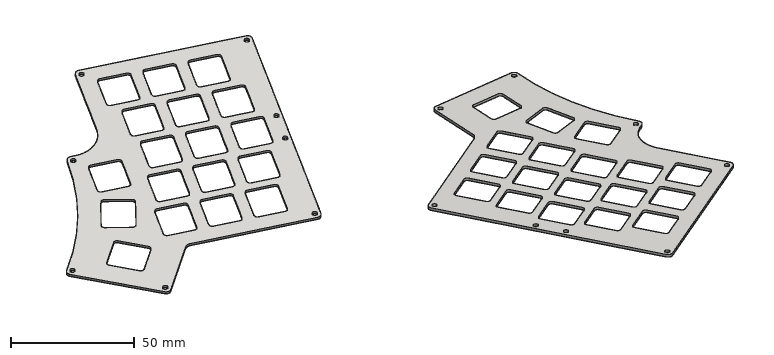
import cadquery as cq
import math

PLATE_THICKNESS = 1.27

KEY_PITCH = 19.015
STAGGER_STEP = KEY_PITCH / 8
COLUMN_DROPS = {-2: 3, -1: 1, 0: 0, 1: 1, 2: 2}
TOP_ROW = 1
BOTTOM_ROW = -1
ROWS = (BOTTOM_ROW, 0, TOP_ROW)
LEFT_COLUMN = min(COLUMN_DROPS)
RIGHT_COLUMN = max(COLUMN_DROPS)

CUTOUT_LENGTH = 15.55
CUTOUT_WIDTH = 14.02
CUTOUT_CORNER_RADIUS = 1.4

KEY_TO_EDGE = 14.61
BLOCK_RIGHT = RIGHT_COLUMN * KEY_PITCH + KEY_TO_EDGE
BLOCK_LEFT = -BLOCK_RIGHT
BLOCK_TOP = TOP_ROW * KEY_PITCH + KEY_TO_EDGE
BLOCK_BOTTOM = BOTTOM_ROW * KEY_PITCH - COLUMN_DROPS[LEFT_COLUMN] * STAGGER_STEP - KEY_TO_EDGE

SCREW_HOLE_DIAMETER = 2.1
SCREW_TO_EDGE = 2.45
CORNER_RADIUS = 2.0
TOP_SCREW_OFFSET = 6.5

OUTER_SIDE_DEGREES = 60
OUTER_SIDE_ANGLE = math.radians(OUTER_SIDE_DEGREES)
OUTER_SCREW_SPACING = 38.7
LOWER_OUTER_SCREW = (53.95, -71.75)
INNER_SCREW = (-4.85, -54.67)
BOW_RADIUS = 108.3
INNER_NOTCH_RADIUS = 12.0
OUTER_NOTCH_RADIUS = 3.0

THUMB_KEYS = ((7.3, 0), (28.53, -15), (52.35, OUTER_SIDE_DEGREES))
FIRST_THUMB_KEY_Y = -42.85


def along_outer_side(start, along, outward):
    """Point reached from start by moving up along the thumb cluster's outer side, then away from it."""
    cosine = math.cos(OUTER_SIDE_ANGLE)
    sine = math.sin(OUTER_SIDE_ANGLE)
    return (
        start[0] + along * cosine + outward * sine,
        start[1] + along * sine - outward * cosine,
    )


UPPER_OUTER_SCREW = along_outer_side(LOWER_OUTER_SCREW, OUTER_SCREW_SPACING, 0)

TOP_LEFT = (BLOCK_LEFT, BLOCK_TOP)
TOP_RIGHT = (BLOCK_RIGHT, BLOCK_TOP)
BOTTOM_LEFT = (BLOCK_LEFT, BLOCK_BOTTOM)
UPPER_THUMB_CORNER = along_outer_side(UPPER_OUTER_SCREW, SCREW_TO_EDGE, SCREW_TO_EDGE)
LOWER_THUMB_CORNER = along_outer_side(LOWER_OUTER_SCREW, -SCREW_TO_EDGE, SCREW_TO_EDGE)
INNER_THUMB_CORNER = (INNER_SCREW[0] - SCREW_TO_EDGE, INNER_SCREW[1] - SCREW_TO_EDGE)
INNER_NOTCH = (INNER_THUMB_CORNER[0], BLOCK_BOTTOM)
OUTER_NOTCH = (
    BLOCK_RIGHT,
    UPPER_THUMB_CORNER[1] + (UPPER_THUMB_CORNER[0] - BLOCK_RIGHT) / math.tan(OUTER_SIDE_ANGLE),
)


def round_corners(plate, corners, radius):
    """Round the upright edges that stand at the given outline corners."""
    edges = cq.Workplane()
    for corner in corners:
        selector = cq.selectors.NearestToPointSelector((*corner, PLATE_THICKNESS / 2))
        edges = edges.add(plate.edges("|Z").edges(selector))
    return plate.newObject([plate.val().fillet(radius, edges.vals())])


def make_blank():
    """Plate outline with a long bow under the thumb keys, and every corner rounded."""
    blank = (
        cq.Workplane("XY")
        .moveTo(*INNER_THUMB_CORNER)
        .radiusArc(LOWER_THUMB_CORNER, BOW_RADIUS)
        .lineTo(*UPPER_THUMB_CORNER)
        .lineTo(*OUTER_NOTCH)
        .lineTo(*TOP_RIGHT)
        .lineTo(*TOP_LEFT)
        .lineTo(*BOTTOM_LEFT)
        .lineTo(*INNER_NOTCH)
        .close()
        .extrude(PLATE_THICKNESS)
    )
    outer_corners = (
        TOP_LEFT,
        TOP_RIGHT,
        BOTTOM_LEFT,
        UPPER_THUMB_CORNER,
        LOWER_THUMB_CORNER,
        INNER_THUMB_CORNER,
    )
    blank = round_corners(blank, outer_corners, CORNER_RADIUS)
    blank = round_corners(blank, [INNER_NOTCH], INNER_NOTCH_RADIUS)
    return round_corners(blank, [OUTER_NOTCH], OUTER_NOTCH_RADIUS)


def switch_cutter(x, y, angle=0):
    """Rounded rectangular cutter for one switch, its long side turned by angle degrees from X."""
    return (
        cq.Workplane("XY")
        .rect(CUTOUT_LENGTH, CUTOUT_WIDTH)
        .extrude(PLATE_THICKNESS)
        .edges("|Z")
        .fillet(CUTOUT_CORNER_RADIUS)
        .rotate((0, 0, 0), (0, 0, 1), angle)
        .translate((x, y, 0))
    )


def cut_switches(plate):
    """Cut the openings of the main block and of the thumb cluster."""
    for column, drop in COLUMN_DROPS.items():
        for row in ROWS:
            plate = plate.cut(switch_cutter(column * KEY_PITCH, row * KEY_PITCH - drop * STAGGER_STEP))
    for index, (x, angle) in enumerate(THUMB_KEYS):
        plate = plate.cut(switch_cutter(x, FIRST_THUMB_KEY_Y - index * STAGGER_STEP, angle))
    return plate


def drill_screw_holes(plate):
    """Drill the corner screws, the pair on the top edge and the thumb cluster screws."""
    top_y = BLOCK_TOP - SCREW_TO_EDGE
    left_x = BLOCK_LEFT + SCREW_TO_EDGE
    right_x = BLOCK_RIGHT - SCREW_TO_EDGE
    centres = [
        (left_x, top_y),
        (-TOP_SCREW_OFFSET, top_y),
        (TOP_SCREW_OFFSET, top_y),
        (right_x, top_y),
        (left_x, BLOCK_BOTTOM + SCREW_TO_EDGE),
        INNER_SCREW,
        LOWER_OUTER_SCREW,
        UPPER_OUTER_SCREW,
    ]
    drills = (
        cq.Workplane("XY")
        .pushPoints(centres)
        .circle(SCREW_HOLE_DIAMETER / 2)
        .extrude(PLATE_THICKNESS)
    )
    return plate.cut(drills)


result = drill_screw_holes(cut_switches(make_blank()))